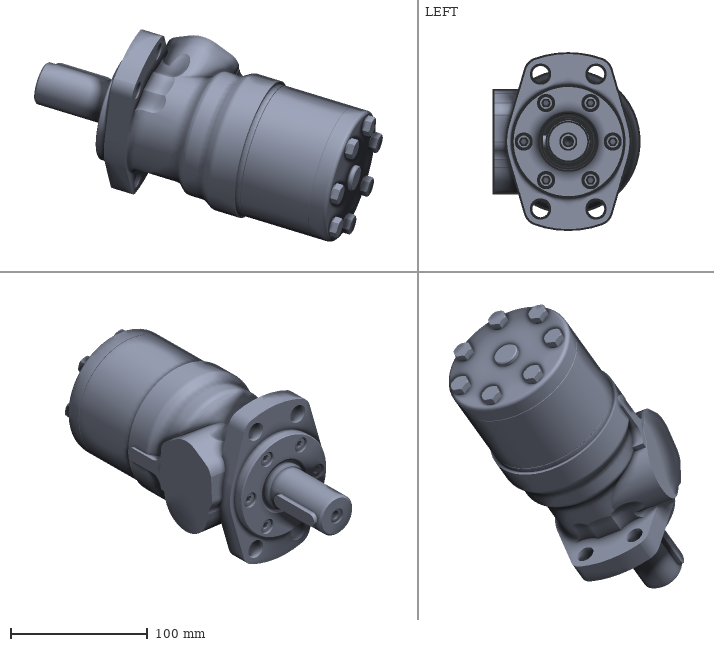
import cadquery as cq
import math


HEX_FLATS_PER_CORNER = math.cos(math.radians(30))

OVERALL_LENGTH = 250.2
SEAL_FRONT_X = 56.0
PILOT_FRONT_X = 59.0
FLANGE_FRONT_X = 67.3
FLANGE_BACK_X = 84.0
HOUSING_BACK_X = 173.0
PLATE_BACK_X = 177.0
RING_BACK_X = 231.0
COVER_BACK_X = 244.0

SHAFT_DIAMETER = 32.0
SHAFT_END_X = FLANGE_BACK_X
SHAFT_CHAMFER = 1.5
CENTRE_HOLE_DIAMETER = 7.0
CENTRE_HOLE_DEPTH = 15.0
CENTRE_RECESS_DIAMETER = 12.0
CENTRE_RECESS_DEPTH = 2.0
DRILL_POINT_ANGLE = 118.0

KEY_START_X = 3.5
KEY_LENGTH = 45.0
KEY_WIDTH = 10.0
KEY_HEIGHT = 8.0
KEY_TOP_Y = 19.0

PILOT_DIAMETER = 82.5
PILOT_CHAMFER = 0.8
NECK_RADIUS = 40.5
SHOULDER_RADIUS = 47.3
HOUSING_RADIUS = 52.3
NECK_FILLET = 4.0

FIRST_STEP_START_X = 119.3
FIRST_STEP_END_X = 132.0
FIRST_STEP_ANGLE = 45.0
SECOND_STEP_START_X = 141.9
SECOND_STEP_END_X = 153.9
SECOND_STEP_ANGLE = 32.0
CONCAVE_SHARE = 0.6

SEAL_RECESS_DIAMETER = 39.5
SEAL_RECESS_MOUTH = 43.0
SEAL_RECESS_DEPTH = 2.5
SEAL_DIAMETER = 35.8
SEAL_LIP_DIAMETER = 33.0
SEAL_LIP_LENGTH = 1.0

FLANGE_SIDE_RADIUS = 45.3
FLANGE_CORNER_RADIUS = 12.0
FLANGE_HEIGHT = 129.5
MOUNT_HOLE_Y = 20.3
MOUNT_HOLE_Z = 49.3
MOUNT_HOLE_DIAMETER = 13.3
MOUNT_HOLE_CHAMFER = 0.5

POCKET_Y = 23.5
POCKET_Z = 55.0
POCKET_RADIUS = 22.0
POCKET_LENGTH = 24.8
POCKET_END_FILLET = 13.0
POCKET_FLOOR_Z = 38.3

SCREW_COUNT = 6
SCREW_CIRCLE_RADIUS = 32.5
SCREW_BORE_DIAMETER = 12.0
SCREW_HEAD_DIAMETER = 10.0
SCREW_SOCKET_FLATS = 5.0
SCREW_BORE_DEPTH = 6.5
SCREW_HEAD_HEIGHT = 4.8
SCREW_SOCKET_DEPTH = 3.0

BLOCK_X = 105.3
BLOCK_TOP_Y = 54.8
BLOCK_HALF_LENGTH = 29.0
UPPER_LOBE_RADIUS = 19.5
UPPER_LOBE_Z = 18.5
BLOCK_SLOPE = 31.0
BLOCK_SLOPE_RUN = 11.5
BLOCK_SIDE_TOP_Z = 19.5
BLOCK_SIDE_TILT = 3.0
LOWER_LOBE_RADIUS = 24.3
LOWER_SIDE_TOP_Z = -13.0
LOWER_SIDE_TILT = 12.0

BAR_TOP_Y = 54.0
BAR_HALF_WIDTH = 5.5
BAR_END_X = 171.1
BAR_FILLET = 9.8

STACK_DIAMETER = 100.0
RING_EDGE_CHAMFER = 0.5
COVER_FILLET = 2.8

BOLT_COUNT = 7
BOLT_CIRCLE_RADIUS = 40.0
FIRST_BOLT_ANGLE = -4.0
BOLT_FLATS = 13.0
BOLT_HEX_CORNER_ANGLE = 45.0
WASHER_FACE_HEIGHT = 0.8
BOLT_EDGE_CHAMFER = 0.8

PLUG_DIAMETER = 19.0
PLUG_BASE_DIAMETER = 18.0
PLUG_BASE_HEIGHT = 0.8
PLUG_HEIGHT = 4.3
PLUG_CHAMFER = 0.8


def section_at(x):
    """Workplane across the motor axis: its local axes are Y and Z, its normal +X."""
    return cq.Workplane("YZ", origin=(x, 0, 0))


def disc(diameter, start_x, end_x):
    return section_at(start_x).circle(diameter / 2).extrude(end_x - start_x)


def revolved(profile):
    """Revolve a closed (x, radius) outline around the motor axis."""
    return profile.close().revolve(360, (0, 0, 0), (1, 0, 0))


def polar_points(count, radius, first_angle):
    """Evenly spaced (y, z) points, with angles from +Y towards +Z."""
    angles = [math.radians(first_angle + 360 * i / count) for i in range(count)]
    return [(radius * math.cos(a), radius * math.sin(a)) for a in angles]


def make_key():
    middle_x = KEY_START_X + KEY_LENGTH / 2
    return (
        cq.Workplane("XZ", origin=(middle_x, KEY_TOP_Y, 0))
        .slot2D(KEY_LENGTH, KEY_WIDTH)
        .extrude(KEY_HEIGHT)
    )


def make_centre_hole():
    radius = CENTRE_HOLE_DIAMETER / 2
    point_length = radius / math.tan(math.radians(DRILL_POINT_ANGLE / 2))
    hole = revolved(
        cq.Workplane("XY")
        .lineTo(0, radius)
        .lineTo(CENTRE_HOLE_DEPTH, radius)
        .lineTo(CENTRE_HOLE_DEPTH + point_length, 0)
    )
    return hole.union(disc(CENTRE_RECESS_DIAMETER, 0, CENTRE_RECESS_DEPTH))


def make_shaft(key):
    shaft = disc(SHAFT_DIAMETER, 0, SHAFT_END_X).faces("<X").chamfer(SHAFT_CHAMFER)
    return shaft.cut(make_centre_hole()).cut(key)


def add_rise(profile, start, end, angle):
    """Rise between two radii: a concave bend, a straight cone and a convex bend, all tangent."""
    slope = math.radians(angle)
    run = end[0] - start[0]
    rise = end[1] - start[1]
    radius_sum = (run * math.sin(slope) - rise * math.cos(slope)) / (1 - math.cos(slope))
    concave = CONCAVE_SHARE * radius_sum
    convex = radius_sum - concave
    cone_start = (
        start[0] + concave * math.sin(slope),
        start[1] + concave * (1 - math.cos(slope)),
    )
    cone_end = (
        end[0] - convex * math.sin(slope),
        end[1] - convex * (1 - math.cos(slope)),
    )
    return (
        profile.lineTo(*start)
        .tangentArcPoint(cone_start, relative=False)
        .lineTo(*cone_end)
        .tangentArcPoint(end, relative=False)
    )


def make_housing_barrel():
    profile = (
        cq.Workplane("XY")
        .moveTo(FLANGE_BACK_X, 0)
        .lineTo(FLANGE_BACK_X, NECK_RADIUS + NECK_FILLET)
        .radiusArc((FLANGE_BACK_X + NECK_FILLET, NECK_RADIUS), -NECK_FILLET)
    )
    profile = add_rise(
        profile,
        (FIRST_STEP_START_X, NECK_RADIUS),
        (FIRST_STEP_END_X, SHOULDER_RADIUS),
        FIRST_STEP_ANGLE,
    )
    profile = add_rise(
        profile,
        (SECOND_STEP_START_X, SHOULDER_RADIUS),
        (SECOND_STEP_END_X, HOUSING_RADIUS),
        SECOND_STEP_ANGLE,
    )
    return revolved(profile.lineTo(HOUSING_BACK_X, HOUSING_RADIUS).lineTo(HOUSING_BACK_X, 0))


def make_flange():
    """Oval flange: side and top arcs, tangent sides, corners concentric with the mounting holes."""
    hole_distance = math.hypot(MOUNT_HOLE_Y, MOUNT_HOLE_Z)
    hole_angle = math.atan2(MOUNT_HOLE_Z, MOUNT_HOLE_Y)
    outer_radius = hole_distance + FLANGE_CORNER_RADIUS
    radius_difference = FLANGE_SIDE_RADIUS - FLANGE_CORNER_RADIUS
    tangent_angle = hole_angle - math.acos(radius_difference / hole_distance)
    half_height = FLANGE_HEIGHT / 2

    side_y = FLANGE_SIDE_RADIUS * math.cos(tangent_angle)
    side_z = FLANGE_SIDE_RADIUS * math.sin(tangent_angle)
    corner_y = MOUNT_HOLE_Y + FLANGE_CORNER_RADIUS * math.cos(tangent_angle)
    corner_z = MOUNT_HOLE_Z + FLANGE_CORNER_RADIUS * math.sin(tangent_angle)
    outer_y = outer_radius * math.cos(hole_angle)
    outer_z = outer_radius * math.sin(hole_angle)

    outline = (
        section_at(FLANGE_FRONT_X)
        .moveTo(side_y, -side_z)
        .threePointArc((FLANGE_SIDE_RADIUS, 0), (side_y, side_z))
        .lineTo(corner_y, corner_z)
        .radiusArc((outer_y, outer_z), -FLANGE_CORNER_RADIUS)
        .threePointArc((0, half_height), (-outer_y, outer_z))
        .radiusArc((-corner_y, corner_z), -FLANGE_CORNER_RADIUS)
        .lineTo(-side_y, side_z)
        .threePointArc((-FLANGE_SIDE_RADIUS, 0), (-side_y, -side_z))
        .lineTo(-corner_y, -corner_z)
        .radiusArc((-outer_y, -outer_z), -FLANGE_CORNER_RADIUS)
        .threePointArc((0, -half_height), (outer_y, -outer_z))
        .radiusArc((corner_y, -corner_z), -FLANGE_CORNER_RADIUS)
        .close()
    )
    return outline.extrude(FLANGE_BACK_X - FLANGE_FRONT_X)


def make_mount_holes():
    corners = [(y, z) for y in (-MOUNT_HOLE_Y, MOUNT_HOLE_Y) for z in (-MOUNT_HOLE_Z, MOUNT_HOLE_Z)]
    radius = MOUNT_HOLE_DIAMETER / 2
    holes = section_at(FLANGE_FRONT_X).pushPoints(corners).circle(radius)
    mouths = section_at(FLANGE_FRONT_X).pushPoints(corners).circle(radius + MOUNT_HOLE_CHAMFER)
    return (
        mouths.extrude(2 * MOUNT_HOLE_CHAMFER)
        .faces(">X")
        .chamfer(MOUNT_HOLE_CHAMFER)
        .union(holes.extrude(FLANGE_BACK_X - FLANGE_FRONT_X))
    )


def make_port_block():
    """Port block: a roof-shaped upper lobe and a narrower lower lobe, symmetric in X."""
    roof_slope = math.radians(BLOCK_SLOPE)
    top_z = UPPER_LOBE_Z + UPPER_LOBE_RADIUS
    roof_start = (
        UPPER_LOBE_RADIUS * math.sin(roof_slope),
        UPPER_LOBE_Z + UPPER_LOBE_RADIUS * math.cos(roof_slope),
    )
    roof_end = (
        roof_start[0] + BLOCK_SLOPE_RUN,
        roof_start[1] - BLOCK_SLOPE_RUN * math.tan(roof_slope),
    )
    side_taper = BLOCK_SIDE_TOP_Z * math.tan(math.radians(BLOCK_SIDE_TILT))
    side_top = (BLOCK_HALF_LENGTH - side_taper, BLOCK_SIDE_TOP_Z)
    side_bottom = (BLOCK_HALF_LENGTH, 0)

    lower_tilt = math.radians(LOWER_SIDE_TILT)
    lower_centre_z = LOWER_LOBE_RADIUS - top_z
    lower_side_bottom = (
        LOWER_LOBE_RADIUS * math.cos(lower_tilt),
        lower_centre_z - LOWER_LOBE_RADIUS * math.sin(lower_tilt),
    )
    lower_side_height = LOWER_SIDE_TOP_Z - lower_side_bottom[1]
    lower_side_top = (
        lower_side_bottom[0] + lower_side_height * math.tan(lower_tilt),
        LOWER_SIDE_TOP_Z,
    )

    waist_middle = (
        (side_bottom[0] + lower_side_top[0]) / 2,
        (side_bottom[1] + lower_side_top[1]) / 2,
    )

    half = (
        cq.Workplane("XZ", origin=(BLOCK_X, 0, 0))
        .moveTo(0, top_z)
        .radiusArc(roof_start, UPPER_LOBE_RADIUS)
        .lineTo(*roof_end)
        .tangentArcPoint(side_top, relative=False)
        .lineTo(*side_bottom)
        .tangentArcPoint(waist_middle, relative=False)
        .tangentArcPoint(lower_side_top, relative=False)
        .lineTo(*lower_side_bottom)
        .radiusArc((0, -top_z), LOWER_LOBE_RADIUS)
        .close()
        .extrude(-BLOCK_TOP_Y)
    )
    mirrored = half.mirror("YZ", (BLOCK_X, 0, 0))
    return half.union(mirrored)


def make_bar():
    """Narrow bar behind the port block, flared into it and rounded at its far end."""
    block_end_x = BLOCK_X + BLOCK_HALF_LENGTH
    flare_x = block_end_x + BAR_FILLET
    flare_z = BAR_HALF_WIDTH + BAR_FILLET
    end_x = BAR_END_X - BAR_HALF_WIDTH
    return (
        cq.Workplane("XZ")
        .moveTo(BLOCK_X, flare_z)
        .lineTo(block_end_x, flare_z)
        .radiusArc((flare_x, BAR_HALF_WIDTH), -BAR_FILLET)
        .lineTo(end_x, BAR_HALF_WIDTH)
        .radiusArc((end_x, -BAR_HALF_WIDTH), BAR_HALF_WIDTH)
        .lineTo(flare_x, -BAR_HALF_WIDTH)
        .radiusArc((block_end_x, -flare_z), -BAR_FILLET)
        .lineTo(BLOCK_X, -flare_z)
        .close()
        .extrude(-BAR_TOP_Y)
    )


def make_clearance_pocket():
    """Pocket behind the two upper mounting holes: two round ends and a flat floor between."""
    rounds = (
        section_at(FLANGE_BACK_X)
        .pushPoints([(-POCKET_Y, POCKET_Z), (POCKET_Y, POCKET_Z)])
        .circle(POCKET_RADIUS)
        .extrude(POCKET_LENGTH)
        .faces(">X")
        .edges()
        .fillet(POCKET_END_FILLET)
    )
    floor = (
        cq.Workplane("XY", origin=(FLANGE_BACK_X, 0, POCKET_FLOOR_Z))
        .box(POCKET_LENGTH, 2 * POCKET_Y, 2 * POCKET_RADIUS, centered=(False, True, False))
        .edges(">X and <Z")
        .fillet(POCKET_END_FILLET)
    )
    return rounds.union(floor)


def make_seal_recess():
    floor_x = PILOT_FRONT_X + SEAL_RECESS_DEPTH
    chamfer = (SEAL_RECESS_MOUTH - SEAL_RECESS_DIAMETER) / 2
    return revolved(
        cq.Workplane("XY")
        .moveTo(PILOT_FRONT_X, 0)
        .lineTo(PILOT_FRONT_X, SEAL_RECESS_MOUTH / 2)
        .lineTo(PILOT_FRONT_X + chamfer, SEAL_RECESS_DIAMETER / 2)
        .lineTo(floor_x, SEAL_RECESS_DIAMETER / 2)
        .lineTo(floor_x, 0)
    )


def make_seal_collar():
    floor_x = PILOT_FRONT_X + SEAL_RECESS_DEPTH
    return revolved(
        cq.Workplane("XY")
        .moveTo(SEAL_FRONT_X, 0)
        .lineTo(SEAL_FRONT_X, SEAL_LIP_DIAMETER / 2)
        .lineTo(SEAL_FRONT_X + SEAL_LIP_LENGTH, SEAL_DIAMETER / 2)
        .lineTo(floor_x, SEAL_DIAMETER / 2)
        .lineTo(floor_x, 0)
    )


def cut_screw_bores(body):
    """Counterbores in the pilot face, each with a socket screw head standing inside."""
    places = polar_points(SCREW_COUNT, SCREW_CIRCLE_RADIUS, 0)
    floor_x = PILOT_FRONT_X + SCREW_BORE_DEPTH
    head_x = floor_x - SCREW_HEAD_HEIGHT
    socket_diameter = SCREW_SOCKET_FLATS / HEX_FLATS_PER_CORNER
    bores = (
        section_at(PILOT_FRONT_X).pushPoints(places).circle(SCREW_BORE_DIAMETER / 2)
        .extrude(SCREW_BORE_DEPTH)
    )
    heads = (
        section_at(head_x).pushPoints(places).circle(SCREW_HEAD_DIAMETER / 2)
        .extrude(SCREW_HEAD_HEIGHT)
    )
    sockets = (
        section_at(head_x).pushPoints(places).polygon(6, socket_diameter)
        .extrude(SCREW_SOCKET_DEPTH)
    )
    return body.cut(bores).union(heads).cut(sockets)


def make_housing():
    pocket = make_clearance_pocket()
    pilot = disc(PILOT_DIAMETER, PILOT_FRONT_X, FLANGE_FRONT_X).faces("<X").chamfer(PILOT_CHAMFER)
    body = make_housing_barrel().union(make_port_block()).union(make_bar())
    body = body.cut(pocket).cut(pocket.mirror("XY"))
    body = body.union(make_flange()).cut(make_mount_holes()).union(pilot)
    body = cut_screw_bores(body)
    body = body.cut(make_seal_recess()).union(make_seal_collar())
    return body.cut(disc(SHAFT_DIAMETER, SEAL_FRONT_X, SHAFT_END_X))


def make_spacer_plate():
    return disc(STACK_DIAMETER, HOUSING_BACK_X, PLATE_BACK_X)


def make_gear_ring():
    return disc(STACK_DIAMETER, PLATE_BACK_X, RING_BACK_X).faces("|X").chamfer(RING_EDGE_CHAMFER)


def make_bolt_heads():
    """Hexagon heads with a round washer face below and corners bevelled at the top."""
    hex_x = COVER_BACK_X + WASHER_FACE_HEIGHT
    corner_diameter = BOLT_FLATS / HEX_FLATS_PER_CORNER
    washer_face = disc(BOLT_FLATS, COVER_BACK_X, hex_x)
    hexagon = (
        section_at(hex_x).polygon(6, corner_diameter).extrude(OVERALL_LENGTH - hex_x)
        .rotate((0, 0, 0), (1, 0, 0), BOLT_HEX_CORNER_ANGLE)
    )
    bevel = disc(corner_diameter, hex_x, OVERALL_LENGTH).faces(">X").chamfer(BOLT_EDGE_CHAMFER)
    head = hexagon.intersect(bevel).union(washer_face)
    places = polar_points(BOLT_COUNT, BOLT_CIRCLE_RADIUS, FIRST_BOLT_ANGLE)
    return [head.translate((0, y, z)) for y, z in places]


def make_plug():
    base_end_x = COVER_BACK_X + PLUG_BASE_HEIGHT
    cap = disc(PLUG_DIAMETER, base_end_x, COVER_BACK_X + PLUG_HEIGHT).faces(">X").chamfer(PLUG_CHAMFER)
    return disc(PLUG_BASE_DIAMETER, COVER_BACK_X, base_end_x).union(cap)


def make_end_cover():
    cover = disc(STACK_DIAMETER, RING_BACK_X, COVER_BACK_X).faces(">X").edges().fillet(COVER_FILLET)
    for head in make_bolt_heads():
        cover = cover.union(head)
    return cover.union(make_plug())


key = make_key()
shaft = make_shaft(key)
housing = make_housing()
spacer_plate = make_spacer_plate()
gear_ring = make_gear_ring()
end_cover = make_end_cover()

result = cq.Compound.makeCompound([
    shaft.solids().val(),
    key.solids().val(),
    housing.solids().val(),
    spacer_plate.solids().val(),
    gear_ring.solids().val(),
    end_cover.solids().val(),
])